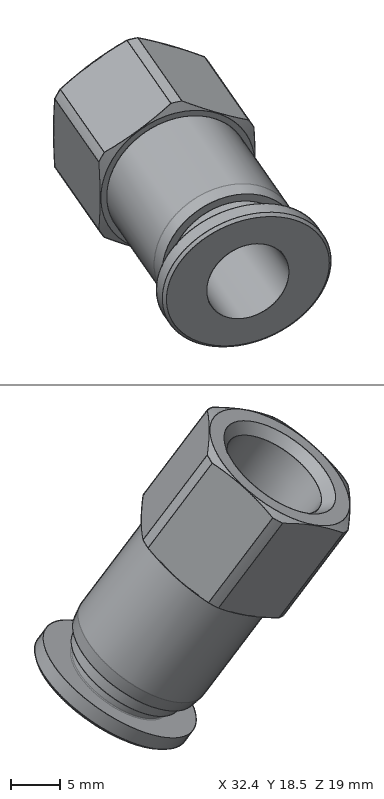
import cadquery as cq

total_length = 32.4

hex_length = 13.0
hex_across_flats = 17.0
hex_corner_diameter = 19.0
hex_face_diameter = 16.88
hex_chamfer_length = 0.4

body_diameter = 15.6
body_end = 26.1
taper_end_diameter = 15.0
taper_end = 27.6
collar_diameter = 13.3
collar_end = 29.22
neck_diameter = 11.73
neck_fillet = 0.1

flange_width = 18.5
flange_height = 16.0
flange_thickness = 1.98
flange_chamfer = 0.32
flange_start = total_length - flange_thickness

mouth_diameter = 13.48
thread_diameter = 11.4
mouth_depth = (mouth_diameter - thread_diameter) / 2
thread_depth = hex_length
thread_taper = 1 / 16
thread_end_diameter = thread_diameter - (thread_depth - mouth_depth) * thread_taper
passage_diameter = 9.0


def revolve_about_x(stations):
    """Solid of revolution about X through (x, diameter) stations."""
    start_x = stations[0][0]
    end_x = stations[-1][0]
    outline = [(x, diameter / 2) for x, diameter in stations]
    profile = cq.Workplane("XY").polyline([(start_x, 0), *outline, (end_x, 0)]).close()
    return profile.revolve(360, (0, 0), (1, 0))


def make_hexagon():
    """Hexagonal prism with turned-down corners and chamfered ends."""
    prism = (
        cq.Workplane("YZ")
        .polygon(6, hex_across_flats, circumscribed=True)
        .extrude(hex_length)
    )
    turned_envelope = revolve_about_x([
        (0, hex_face_diameter),
        (hex_chamfer_length, hex_corner_diameter),
        (hex_length - hex_chamfer_length, hex_corner_diameter),
        (hex_length, hex_face_diameter),
    ])
    return prism.intersect(turned_envelope)


def make_body():
    """Round body running inside the hexagon, its tapered end, the collar and the neck up to the flange."""
    return revolve_about_x([
        (0, body_diameter),
        (body_end, body_diameter),
        (taper_end, taper_end_diameter),
        (taper_end, collar_diameter),
        (collar_end, collar_diameter),
        (collar_end, neck_diameter),
        (flange_start, neck_diameter),
    ])


def make_flange():
    """Elliptical flange with its outer end chamfered."""
    return (
        cq.Workplane("YZ", origin=(flange_start, 0, 0))
        .ellipse(flange_width / 2, flange_height / 2)
        .extrude(flange_thickness)
        .faces(">X")
        .chamfer(flange_chamfer)
    )


def make_bore():
    """Conical mouth, tapered thread bore and straight passage."""
    return revolve_about_x([
        (0, mouth_diameter),
        (mouth_depth, thread_diameter),
        (thread_depth, thread_end_diameter),
        (thread_depth, passage_diameter),
        (total_length, passage_diameter),
    ])


def round_neck_corner(part):
    """Fillet the circular corner where the neck meets the flange."""
    near_flange_back = cq.selectors.BoxSelector(
        (flange_start - neck_fillet, -neck_fillet, -neck_fillet),
        (flange_start + neck_fillet, neck_fillet, neck_fillet),
    )
    return part.edges("%CIRCLE").edges(near_flange_back).fillet(neck_fillet)


outside = make_hexagon().union(make_body()).union(make_flange())
result = round_neck_corner(outside).cut(make_bore())